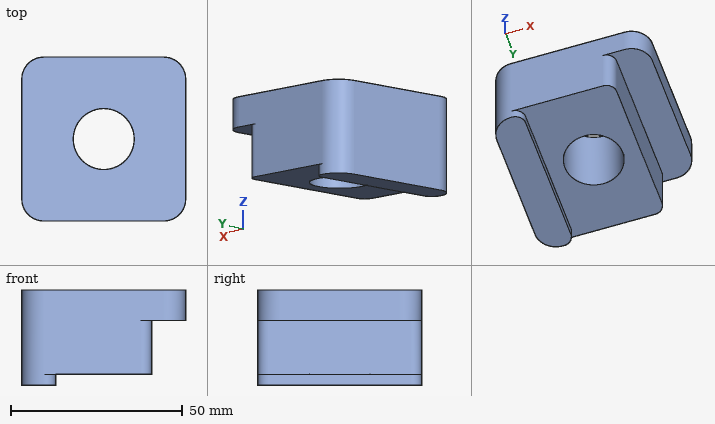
import cadquery as cq

side = 48.0
height = 27.95
corner_radius = 6.5

flange_thickness = 9.03
body_length = 38.05
lip_length = 10.0
lip_height = 3.15
step_radius = 3.15

hole_diameter = 17.75


def tier(length, end_radius, bottom, top):
    """Slab starting at the -X face, with rounded vertical edges."""
    slab = cq.Workplane("XY").workplane(offset=bottom).center((length - side) / 2, 0)
    slab = slab.rect(length, side).extrude(top - bottom)
    slab = slab.edges("|Z and <X").fillet(corner_radius)
    return slab.edges("|Z and >X").fillet(end_radius)


flange = tier(side, corner_radius, height - flange_thickness, height)
body = tier(body_length, step_radius, lip_height, height)
lip = tier(lip_length, step_radius, 0, height)

hole = cq.Workplane("XY").circle(hole_diameter / 2).extrude(height)

result = flange.union(body).union(lip).cut(hole)